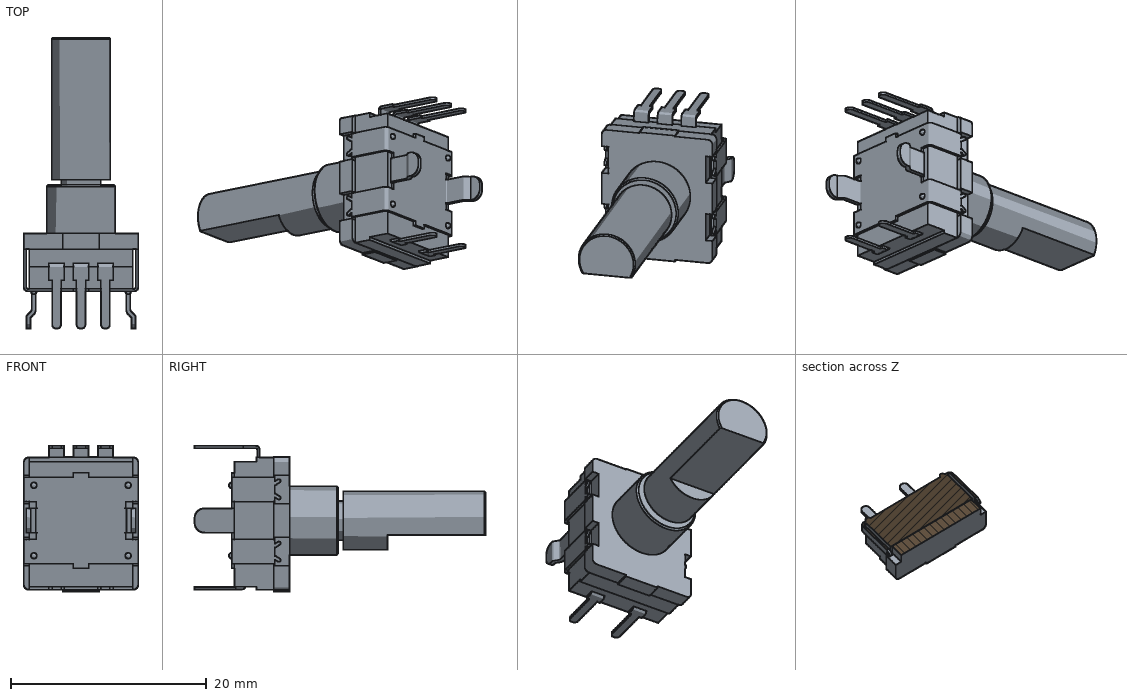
import cadquery as cq
import math


SHAFT_END = 20.0
SHAFT_DIAMETER = 6.0
SHAFT_SHOULDER = 5.45
SHAFT_CHAMFER = 0.15
FLAT_START = 10.0
FLAT_DROP = 1.48
NECK_DIAMETER = 4.05

BUSHING_DIAMETER = 7.05
BUSHING_END = 4.95
BUSHING_CHAMFER = 0.18
PLATE_WIDTH = 11.7
PLATE_TOP = 6.45
PLATE_BOTTOM = -7.07
PLATE_DEPTH = 1.6
PLATE_CORNER_RADIUS = 0.53
PAD_WIDTH = 3.77
TOP_PAD_HEIGHT = 0.1
BOTTOM_PAD_HEIGHT = 0.18
NOTCH_DEPTH = 0.7
NOTCH_INNER_Z = 1.7
NOTCH_OUTER_Z = 4.6
NOTCH_BACK = -1.5

BASE_WIDTH = 10.6
BASE_BACK = -5.65
BASE_STEP_Y = -3.4
BASE_STEP_TOP = 6.0
BASE_STEP_BOTTOM = -6.77

SHEET = 0.27

COVER_BACK = BASE_BACK - SHEET
COVER_HALF_HEIGHT = 4.43
COVER_BEND_RADIUS = 0.45
STRAP_INNER_Z = 1.93
STRAP_END = NOTCH_BACK
STRAP_MID_Z = (STRAP_INNER_Z + COVER_HALF_HEIGHT) / 2
WINDOW_X = 4.57
TAB_WIDTH = 1.55
TAB_REACH = 0.45
RIVET_RADIUS = 0.3
RIVET_X = 4.8
RIVET_Z = 3.6

FINGER_WIDTH = 0.35
FINGER_ROOT = 0.6
FINGER_TIP = 0.85
FINGER_LENGTH = 0.42

LEG_WIDTH = 2.5
LEG_THICKNESS = 0.45
LEG_INNER_X = 4.6
LEG_JOG = 0.53
JOG_ANGLE = 45.0
LEG_JOG_START = -7.87
LEG_JOG_RADIUS = 0.3
LEG_TIP_RADIUS = 1.0
LEG_BEND_RADIUS = 0.15

TERMINAL_PITCH = 2.5
TERMINAL_END = -9.7
TERMINAL_WIDE = 1.55
TERMINAL_NARROW = 0.92
TERMINAL_TIP_RADIUS = 0.42
TERMINAL_BEND_RADIUS = 0.12
TERMINAL_ROOT = 0.9
TOP_TERMINAL_Z = 7.63
TOP_TERMINAL_START = -3.05
TOP_TERMINAL_SHOULDER = -4.75
BOTTOM_TERMINAL_Z = BASE_STEP_BOTTOM - SHEET
BOTTOM_TERMINAL_START = -4.48
BOTTOM_TERMINAL_SHOULDER = -5.5


def block(x_range, y_range, z_range):
    """Box between pairs of X, Y and Z limits."""
    sizes = [abs(b - a) for a, b in (x_range, y_range, z_range)]
    middle = tuple((a + b) / 2 for a, b in (x_range, y_range, z_range))
    return cq.Workplane("XY").box(*sizes).translate(middle)


def across(width):
    """Limits of a width centred on zero."""
    return (-width / 2, width / 2)


def rod(diameter, y_start, y_end):
    """Round rod on the shaft axis."""
    return cq.Workplane("XZ", origin=(0, y_end, 0)).circle(diameter / 2).extrude(y_end - y_start)


def make_shaft():
    shaft = rod(SHAFT_DIAMETER, SHAFT_SHOULDER, SHAFT_END).faces(">Y").chamfer(SHAFT_CHAMFER)
    below_flat = block(across(SHAFT_DIAMETER), (FLAT_START, SHAFT_END), (-SHAFT_DIAMETER, -FLAT_DROP))
    neck = rod(NECK_DIAMETER, -PLATE_DEPTH, SHAFT_SHOULDER)
    return shaft.cut(below_flat).union(neck)


def make_bushing():
    plate = block(across(PLATE_WIDTH), (-PLATE_DEPTH, 0), (PLATE_BOTTOM, PLATE_TOP))
    plate = plate.edges("|Y").fillet(PLATE_CORNER_RADIUS)
    pads = block(
        across(PAD_WIDTH),
        (-PLATE_DEPTH, 0),
        (PLATE_BOTTOM - BOTTOM_PAD_HEIGHT, PLATE_TOP + TOP_PAD_HEIGHT),
    )
    plate = plate.union(pads)
    for side in (-1, 1):
        for level in (-1, 1):
            notch = block(
                (side * (PLATE_WIDTH / 2 - NOTCH_DEPTH), side * PLATE_WIDTH / 2),
                (NOTCH_BACK, 0),
                (level * NOTCH_INNER_Z, level * NOTCH_OUTER_Z),
            )
            strap_slot = block(
                (side * (PLATE_WIDTH / 2 - SHEET), side * PLATE_WIDTH / 2),
                (-PLATE_DEPTH, NOTCH_BACK),
                (level * STRAP_INNER_Z, level * COVER_HALF_HEIGHT),
            )
            plate = plate.cut(notch).cut(strap_slot)
    sleeve = rod(BUSHING_DIAMETER, 0, BUSHING_END).faces(">Y").chamfer(BUSHING_CHAMFER)
    bore = rod(NECK_DIAMETER, -PLATE_DEPTH, BUSHING_END)
    return plate.union(sleeve).cut(bore)


def make_base():
    front = block(across(BASE_WIDTH), (BASE_STEP_Y, -PLATE_DEPTH), (PLATE_BOTTOM, PLATE_TOP))
    rear = block(across(BASE_WIDTH), (BASE_BACK, BASE_STEP_Y), (BASE_STEP_BOTTOM, BASE_STEP_TOP))
    return front.union(rear)


def make_finger(side, strap_z, direction):
    """Slanted crimp finger with a round tip, in the plane of its strap."""
    root = cq.Vector(STRAP_END, strap_z + direction * FINGER_ROOT)
    tip = cq.Vector(STRAP_END + FINGER_LENGTH, strap_z + direction * FINGER_TIP)
    along = tip - root
    middle = (root + tip) * 0.5
    slant = math.degrees(math.atan2(along.y, along.x))
    inner_x = min(side * PLATE_WIDTH / 2, side * (PLATE_WIDTH / 2 - SHEET))
    return (
        cq.Workplane("YZ", origin=(inner_x, 0, 0))
        .center(middle.x, middle.y)
        .slot2D(along.Length + FINGER_WIDTH, FINGER_WIDTH, slant)
        .extrude(SHEET)
    )


def make_leg():
    """Right-hand mounting leg, bent out of the cover, with a jog and a round end."""
    outer_x = LEG_INNER_X + LEG_THICKNESS
    bend_x = LEG_INNER_X - LEG_BEND_RADIUS
    bend_y = COVER_BACK - LEG_BEND_RADIUS
    outer_bend_y = BASE_BACK - LEG_THICKNESS
    miter = LEG_THICKNESS * math.tan(math.radians(JOG_ANGLE / 2))
    inner_jog = LEG_JOG_START - miter
    leg = (
        cq.Workplane("XY", origin=(0, 0, -LEG_WIDTH / 2))
        .moveTo(bend_x, BASE_BACK)
        .lineTo(LEG_INNER_X, BASE_BACK)
        .radiusArc((outer_x, outer_bend_y), LEG_THICKNESS)
        .lineTo(outer_x, LEG_JOG_START)
        .lineTo(outer_x + LEG_JOG, LEG_JOG_START - LEG_JOG)
        .lineTo(outer_x + LEG_JOG, TERMINAL_END)
        .lineTo(LEG_INNER_X + LEG_JOG, TERMINAL_END)
        .lineTo(LEG_INNER_X + LEG_JOG, inner_jog - LEG_JOG)
        .lineTo(LEG_INNER_X, inner_jog)
        .lineTo(LEG_INNER_X, bend_y)
        .radiusArc((bend_x, COVER_BACK), -LEG_BEND_RADIUS)
        .close()
        .extrude(LEG_WIDTH)
    )
    jog_corners = (
        (outer_x, LEG_JOG_START, LEG_JOG_RADIUS),
        (outer_x + LEG_JOG, LEG_JOG_START - LEG_JOG, LEG_JOG_RADIUS),
        (LEG_INNER_X, inner_jog, LEG_JOG_RADIUS + LEG_THICKNESS),
    )
    for corner_x, corner_y, radius in jog_corners:
        corner = cq.selectors.NearestToPointSelector((corner_x, corner_y, 0))
        leg = leg.edges(corner).fillet(radius)
    return leg.edges("|X and <Y").fillet(LEG_TIP_RADIUS)


def make_cover():
    half_width = PLATE_WIDTH / 2
    heights = across(2 * COVER_HALF_HEIGHT)
    cover = block(across(PLATE_WIDTH), (COVER_BACK, STRAP_END), heights)
    cover = cover.edges("|Z and <Y").fillet(COVER_BEND_RADIUS)
    inside = block(across(PLATE_WIDTH - 2 * SHEET), (BASE_BACK, STRAP_END), heights)
    inside = inside.edges("|Z and <Y").fillet(COVER_BEND_RADIUS - SHEET)
    cover = cover.cut(inside)
    tabs = block(across(TAB_WIDTH), (COVER_BACK, BASE_BACK), across(2 * (COVER_HALF_HEIGHT + TAB_REACH)))
    cover = cover.union(tabs)
    leg = make_leg()
    legs = {1: leg, -1: leg.mirror("YZ")}
    for side in (-1, 1):
        window = block(
            (side * WINDOW_X, side * half_width), (COVER_BACK, STRAP_END), across(2 * STRAP_INNER_Z)
        )
        cover = cover.cut(window).union(legs[side])
        for level in (-1, 1):
            rivet = cq.Workplane("XY").sphere(RIVET_RADIUS)
            cover = cover.union(rivet.translate((side * RIVET_X, COVER_BACK, level * RIVET_Z)))
            for direction in (-1, 1):
                cover = cover.union(make_finger(side, level * STRAP_MID_Z, direction))
    return cover


def make_terminal(x, level_z, start_y, shoulder_y):
    """Bent terminal strip: rises out of the base, then runs to -Y and narrows to a round tip."""
    up = math.copysign(1, level_z)
    root_z = up * (min(abs(level_z), PLATE_TOP) - TERMINAL_ROOT)
    strip = (
        cq.Workplane("YZ", origin=(-TERMINAL_WIDE / 2, 0, 0))
        .moveTo(start_y, root_z)
        .lineTo(start_y, level_z)
        .lineTo(TERMINAL_END, level_z)
        .lineTo(TERMINAL_END, level_z - up * SHEET)
        .lineTo(start_y - SHEET, level_z - up * SHEET)
        .lineTo(start_y - SHEET, root_z)
        .close()
        .extrude(TERMINAL_WIDE)
    )
    outer_corner = cq.selectors.NearestToPointSelector((0, start_y, level_z))
    inner_corner = cq.selectors.NearestToPointSelector((0, start_y - SHEET, level_z - up * SHEET))
    strip = strip.edges(outer_corner).fillet(TERMINAL_BEND_RADIUS + SHEET)
    strip = strip.edges(inner_corner).fillet(TERMINAL_BEND_RADIUS)
    reach = (min(root_z, level_z), max(root_z, level_z))
    wide = block(across(TERMINAL_WIDE), (shoulder_y, start_y), reach)
    narrow = block(across(TERMINAL_NARROW), (TERMINAL_END, start_y), reach)
    narrow = narrow.edges("|Z and <Y").fillet(TERMINAL_TIP_RADIUS)
    return strip.intersect(wide.union(narrow)).translate((x, 0, 0))


def make_body():
    """Base with its terminals and the cover that wraps it, as one solid."""
    body = make_base().union(make_cover())
    for column in (-1, 0, 1):
        x = column * TERMINAL_PITCH
        body = body.union(make_terminal(x, TOP_TERMINAL_Z, TOP_TERMINAL_START, TOP_TERMINAL_SHOULDER))
    for column in (-1, 1):
        x = column * TERMINAL_PITCH
        body = body.union(
            make_terminal(x, BOTTOM_TERMINAL_Z, BOTTOM_TERMINAL_START, BOTTOM_TERMINAL_SHOULDER)
        )
    return body


shaft = make_shaft()
bushing = make_bushing()
body = make_body()

result = cq.Compound.makeCompound([part.solids().val() for part in (shaft, bushing, body)])